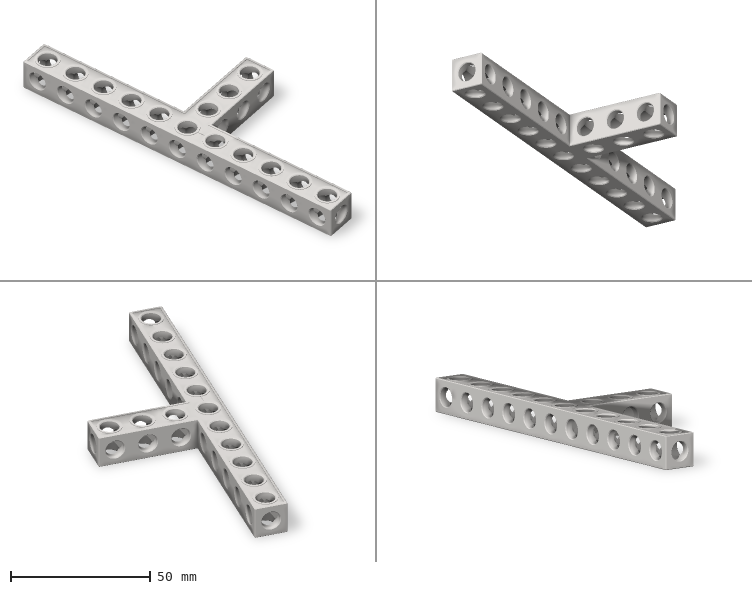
import cadquery as cq

beam_length = 137.5
beam_hole_count = 11
stem_hole_count = 3
bore_diameter = 7.0
bore_chamfer = 0.3
edge_chamfer = 0.25
collar_diameter = 9.2
rim_width = 1.0
recess_depth = 0.25
bridge_width = 0.3

pitch = beam_length / beam_hole_count
half_pitch = pitch / 2
stem_length = stem_hole_count * pitch
total_width = pitch + stem_length

beam_xs = [(i - (beam_hole_count - 1) / 2) * pitch for i in range(beam_hole_count)]
stem_ys = [(i + 1) * pitch for i in range(stem_hole_count)]
cell_centres = [(x, 0) for x in beam_xs] + [(0, y) for y in stem_ys]


def beam_and_stem(inset, bottom, height):
    """The two bars of a T-shaped plate, with side faces moved inwards by inset."""
    bar_width = pitch - 2 * inset
    stem_reach = half_pitch + stem_length - inset
    plane = cq.Workplane("XY", origin=(0, 0, bottom))
    beam = plane.rect(beam_length - 2 * inset, bar_width).extrude(height)
    stem = plane.center(0, stem_reach / 2).rect(bar_width, stem_reach).extrude(height)
    return beam, stem


def body():
    """Solid T with every outside edge chamfered and the inside corners left sharp."""
    beam, stem = beam_and_stem(0, 0, pitch)
    return beam.edges().chamfer(edge_chamfer).union(stem.edges().chamfer(edge_chamfer))


def top_recess():
    """Shallow pocket in the top face, leaving a rim, a collar at each bore and one bridge."""
    bottom = pitch - recess_depth
    floor = cq.Workplane("XY", origin=(0, 0, bottom))
    beam, stem = beam_and_stem(rim_width, bottom, recess_depth)
    collars = floor.pushPoints(cell_centres).circle(collar_diameter / 2).extrude(recess_depth)
    bridge = floor.center(half_pitch, 0).rect(pitch, bridge_width).extrude(recess_depth)
    return beam.union(stem).cut(collars).cut(bridge)


def bore(start, direction, length):
    """Straight bore from start along direction, widened by a chamfer at both mouths."""
    radius = bore_diameter / 2
    mouth_radius = radius + bore_chamfer
    axis = cq.Vector(*direction)
    origin = cq.Vector(*start)
    end = origin + axis * length
    shaft = cq.Solid.makeCylinder(radius, length, origin, axis)
    near_mouth = cq.Solid.makeCone(mouth_radius, radius, bore_chamfer, origin, axis)
    far_mouth = cq.Solid.makeCone(mouth_radius, radius, bore_chamfer, end, axis * -1)
    return shaft.fuse(near_mouth, far_mouth)


result = body().cut(top_recess())

for x, y in cell_centres:
    result = result.cut(cq.Workplane(bore((x, y, 0), (0, 0, 1), pitch)))

for x in beam_xs:
    bore_length = total_width if x == 0 else pitch
    result = result.cut(cq.Workplane(bore((x, -half_pitch, half_pitch), (0, 1, 0), bore_length)))

result = result.cut(cq.Workplane(bore((-beam_length / 2, 0, half_pitch), (1, 0, 0), beam_length)))
for y in stem_ys:
    result = result.cut(cq.Workplane(bore((-half_pitch, y, half_pitch), (1, 0, 0), pitch)))